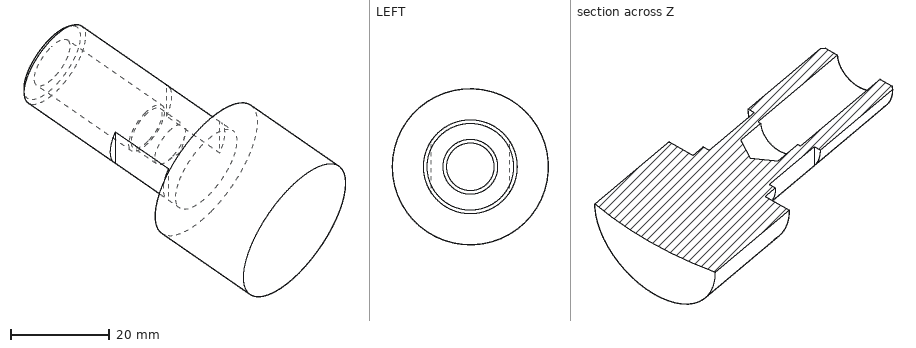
import cadquery as cq
import math

total_length = 66.7
head_diameter = 31.75
head_length = 25.3
dome_height = 1.55
shank_diameter = 19.1
shank_chamfer = 0.75

flat_length = 14.3
flat_to_shoulder = 3.3
across_flats = 15.9

bore_diameter = 11.15
bore_depth = 25.4
drill_diameter = 9.7
drill_depth = 31.75
drill_point_angle = 118.0

shank_end_x = -total_length / 2
tip_x = total_length / 2
shoulder_x = tip_x - head_length
dome_edge_x = tip_x - dome_height
head_radius = head_diameter / 2
shank_radius = shank_diameter / 2


def revolve_about_x(profile):
    return profile.close().revolve(360, (0, 0, 0), (1, 0, 0))


def make_body():
    """Chamfered shank and head with a spherical end."""
    dome_radius = (head_radius**2 + dome_height**2) / (2 * dome_height)
    dome_centre_x = tip_x - dome_radius
    half_angle = math.asin(head_radius / dome_radius) / 2
    dome_mid = (
        dome_centre_x + dome_radius * math.cos(half_angle),
        dome_radius * math.sin(half_angle),
    )
    profile = (
        cq.Workplane("XY")
        .moveTo(shank_end_x, 0)
        .lineTo(shank_end_x, shank_radius - shank_chamfer)
        .lineTo(shank_end_x + shank_chamfer, shank_radius)
        .lineTo(shoulder_x, shank_radius)
        .lineTo(shoulder_x, head_radius)
        .lineTo(dome_edge_x, head_radius)
        .threePointArc(dome_mid, (tip_x, 0))
    )
    return revolve_about_x(profile)


def make_hole():
    """Bore, narrower drilled hole beyond it, and conical drill point."""
    bore_radius = bore_diameter / 2
    drill_radius = drill_diameter / 2
    point_length = drill_radius / math.tan(math.radians(drill_point_angle / 2))
    bore_floor_x = shank_end_x + bore_depth
    drill_end_x = shank_end_x + drill_depth
    profile = (
        cq.Workplane("XY")
        .moveTo(shank_end_x, 0)
        .lineTo(shank_end_x, bore_radius)
        .lineTo(bore_floor_x, bore_radius)
        .lineTo(bore_floor_x, drill_radius)
        .lineTo(drill_end_x, drill_radius)
        .lineTo(drill_end_x + point_length, 0)
    )
    return revolve_about_x(profile)


def make_flat_cutter(side):
    """Block removing the shank beyond one flat; side is -1 or +1 along Y."""
    cut_depth = (shank_diameter - across_flats) / 2
    centre_x = shoulder_x - flat_to_shoulder - flat_length / 2
    centre_y = side * (across_flats + cut_depth) / 2
    return (
        cq.Workplane("XY")
        .box(flat_length, cut_depth, shank_diameter)
        .translate((centre_x, centre_y, 0))
    )


result = make_body().cut(make_hole())
for side in (-1, 1):
    result = result.cut(make_flat_cutter(side))